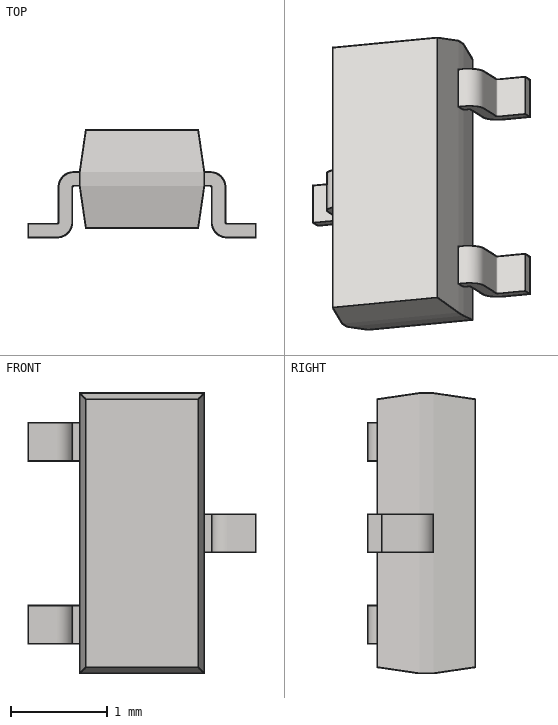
import cadquery as cq

housing_width = 1.3
housing_height = 2.92
taper_inset = 0.065
taper_depth = 0.438

lead_span = 2.37
lead_thickness = 0.145
lead_width = 0.4
lead_pitch = 1.9
foot_length = 0.315
bend_inner_radius = 0.015
standoff = 0.1

bend_outer_radius = bend_inner_radius + lead_thickness
band_front_y = -lead_thickness
foot_front_y = band_front_y - taper_depth - standoff
foot_back_y = foot_front_y + lead_thickness
tip_x = lead_span / 2
leg_outer_x = tip_x - foot_length
leg_inner_x = leg_outer_x - lead_thickness
root_x = housing_width / 2


def housing_block(start_y, end_y, inset):
    """Loft from the full outline at start_y to the outline inset on every side at end_y."""
    return (
        cq.Workplane("XZ", origin=(0, start_y, 0))
        .rect(housing_width, housing_height)
        .workplane(offset=start_y - end_y)
        .rect(housing_width - 2 * inset, housing_height - 2 * inset)
        .loft(ruled=True)
    )


def make_housing():
    band = housing_block(0, band_front_y, 0)
    front = housing_block(band_front_y, band_front_y - taper_depth, taper_inset)
    back = housing_block(0, taper_depth, taper_inset)
    return band.union(front).union(back)


def make_lead(side, center_z):
    """Gull-wing lead leaving the +X (side = 1) or -X (side = -1) face of the housing."""
    profile = [
        (root_x, 0),
        (leg_outer_x, 0),
        (leg_outer_x, foot_back_y),
        (tip_x, foot_back_y),
        (tip_x, foot_front_y),
        (leg_inner_x, foot_front_y),
        (leg_inner_x, band_front_y),
        (root_x, band_front_y),
    ]
    lead = (
        cq.Workplane("XY", origin=(0, 0, center_z))
        .polyline([(side * x, y) for x, y in profile])
        .close()
        .extrude(lead_width / 2, both=True)
    )
    outer_corners = [(leg_outer_x, 0), (leg_inner_x, foot_front_y)]
    inner_corners = [(leg_outer_x, foot_back_y), (leg_inner_x, band_front_y)]
    lead = round_corners(lead, side, center_z, outer_corners, bend_outer_radius)
    return round_corners(lead, side, center_z, inner_corners, bend_inner_radius)


def round_corners(lead, side, center_z, corners, radius):
    """Round the lead's Z-direction edges that lie at the given corners."""
    for x, y in corners:
        corner = (side * x, y, center_z)
        lead = lead.edges("|Z").edges(cq.NearestToPointSelector(corner)).fillet(radius)
    return lead


housing = make_housing()

lead_places = [(-1, lead_pitch / 2), (-1, -lead_pitch / 2), (1, 0)]
leads = [make_lead(side, center_z) for side, center_z in lead_places]

result = cq.Compound.makeCompound([housing.val(), *[lead.val() for lead in leads]])